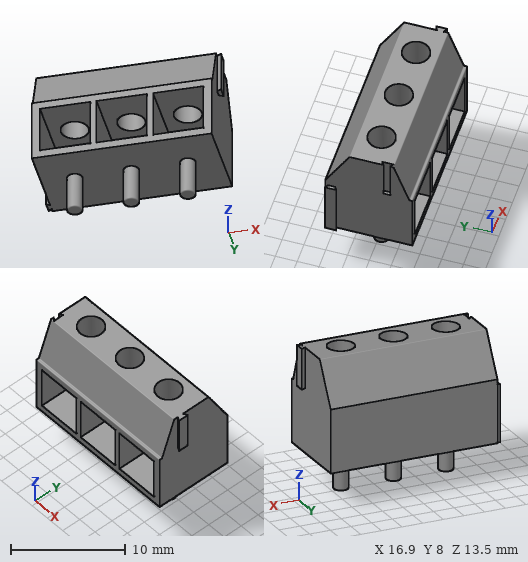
import cadquery as cq

poles = 3
pitch = 5.08

housing_length = 16.16
housing_depth = 8.0
housing_height = 10.0
ledge_width = 0.29
ledge_height = housing_height - 3.95
front_slope_top = 1.72
rear_slope_top = housing_depth - 2.25
rear_wall_height = housing_height - 3.94
edge_radius = 0.1

chamber_width = 4.53
chamber_bottom = 0.75
chamber_depth = 5.91
screw_hole_diameter = 2.5
pin_diameter = 1.4
pin_length = 3.5
pin_end_radius = 0.14
terminal_y = 3.75

left_rail_projection = 0.32
left_rail_height = 5.49
left_rail_y = housing_depth - 0.6
left_rail_root_width = 0.6
left_rail_outer_width = 1.05
right_rail_projection = 0.4
right_rail_y = 2.45
right_rail_root_width = 0.6
right_rail_outer_width = 1.05
groove_depth = 0.32
groove_y = 2.35
groove_mouth_width = 0.59
groove_inner_width = 1.05
upper_dovetail_height = 3.87
upper_dovetail_bottom = housing_height - upper_dovetail_height

first_pole_x = (housing_length - (poles - 1) * pitch) / 2
pole_positions = [first_pole_x + i * pitch for i in range(poles)]


def make_housing():
    """Extruded housing with rounded edges along the top and the front ledge."""
    profile = [
        (0, 0),
        (housing_depth, 0),
        (housing_depth, rear_wall_height),
        (rear_slope_top, housing_height),
        (front_slope_top, housing_height),
        (ledge_width, ledge_height),
        (0, ledge_height),
    ]
    housing = cq.Workplane("YZ").polyline(profile).close().extrude(housing_length)
    top_edges = housing.faces(">Z").edges("|X")
    ledge_edges = housing.faces("<Y").edges(">Z")
    ledge_corner = housing.edges(
        cq.selectors.NearestToPointSelector((housing_length / 2, ledge_width, ledge_height))
    )
    rounded_edges = top_edges.add(ledge_edges).add(ledge_corner)
    return rounded_edges.fillet(edge_radius)


def dovetail(root_x, outer_x, center_y, root_width, outer_width, bottom, height):
    """Upright prism that widens from root_x to outer_x."""
    outline = [
        (root_x, center_y - root_width / 2),
        (outer_x, center_y - outer_width / 2),
        (outer_x, center_y + outer_width / 2),
        (root_x, center_y + root_width / 2),
    ]
    return cq.Workplane("XY").workplane(offset=bottom).polyline(outline).close().extrude(height)


def make_cavity(x):
    """Square wire chamber joined from above by the screw hole."""
    chamber = cq.Workplane("XY").box(
        chamber_width, chamber_depth, chamber_width, centered=(True, False, False)
    ).translate((x, 0, chamber_bottom))
    hole_bottom = chamber_bottom + chamber_width / 2
    screw_hole = (
        cq.Workplane("XY", origin=(x, terminal_y, hole_bottom))
        .circle(screw_hole_diameter / 2)
        .extrude(housing_height - hole_bottom)
    )
    return chamber.union(screw_hole)


def make_pin(x):
    """Solder pin with a rounded lower end."""
    return (
        cq.Workplane("XY", origin=(x, terminal_y, 0))
        .circle(pin_diameter / 2)
        .extrude(-pin_length)
        .faces("<Z").edges().fillet(pin_end_radius)
    )


left_rail = dovetail(
    0, -left_rail_projection, left_rail_y,
    left_rail_root_width, left_rail_outer_width, 0, left_rail_height,
)
right_rail = dovetail(
    housing_length, housing_length + right_rail_projection, right_rail_y,
    right_rail_root_width, right_rail_outer_width, upper_dovetail_bottom, upper_dovetail_height,
)
left_groove = dovetail(
    0, groove_depth, groove_y,
    groove_mouth_width, groove_inner_width, upper_dovetail_bottom, upper_dovetail_height,
)

result = make_housing().union(left_rail).union(right_rail).cut(left_groove)
for pole_x in pole_positions:
    result = result.cut(make_cavity(pole_x)).union(make_pin(pole_x))